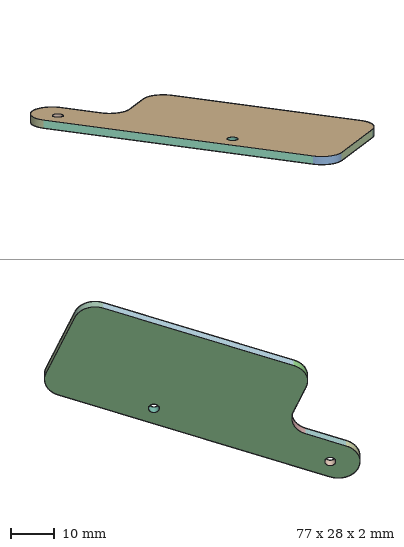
import cadquery as cq

length = 77.0
width = 28.0
thickness = 2.0
handle_length = 20.0
handle_width = 10.0
corner_radius = handle_width / 2
hole_diameter = 2.5
hole_edge_distance = 4.3
hole_end_distance = 6.7
hole_spacing = 43.4


def make_plate():
    """Paddle outline, lower left at the origin, extruded to thickness."""
    r = corner_radius
    return (
        cq.Workplane("XY")
        .moveTo(r, 0)
        .lineTo(length - r, 0)
        .radiusArc((length, r), -r)
        .lineTo(length, width - r)
        .radiusArc((length - r, width), -r)
        .lineTo(handle_length + r, width)
        .radiusArc((handle_length, width - r), -r)
        .lineTo(handle_length, handle_width + r)
        .radiusArc((handle_length - r, handle_width), r)
        .lineTo(r, handle_width)
        .threePointArc((0, r), (r, 0))
        .close()
        .extrude(thickness)
    )


def make_holes():
    """Two through holes in a row along the long straight edge."""
    centers = [
        (hole_end_distance, hole_edge_distance),
        (hole_end_distance + hole_spacing, hole_edge_distance),
    ]
    return cq.Workplane("XY").pushPoints(centers).circle(hole_diameter / 2).extrude(thickness)


result = make_plate().cut(make_holes())